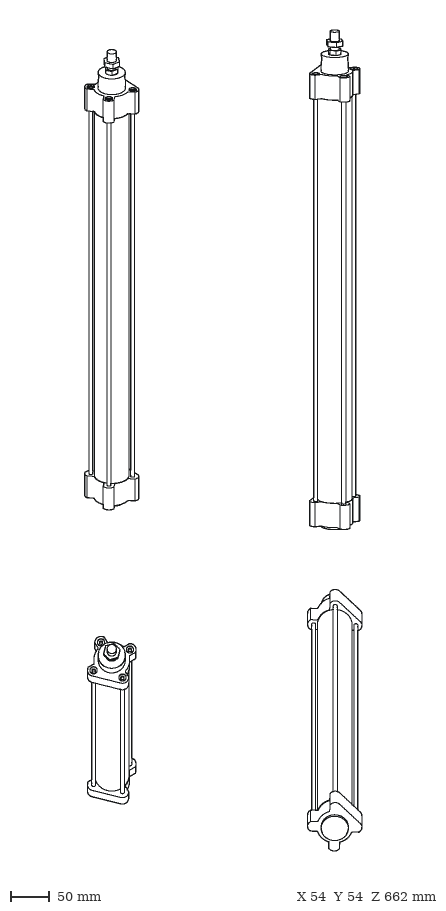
import cadquery as cq
import math

TOTAL_LENGTH = 662.0
REAR_BOSS_HEIGHT = 4.5
HEAD_HEIGHT = 32.5
FRONT_HEAD_TOP = 608.0
COLLAR_TOP = 631.5
NUT_BOTTOM = 643.0
NUT_HEIGHT = 6.5

ENVELOPE = 54.0
CORNER_OFFSET = 19.0
HEAD_DIAMETER = 46.5
LEDGE_LENGTH = 2.0
LOBE_FILLET = 1.0
SCREW_BORE_DIAMETER = 9.0
SCREW_BORE_DEPTH = 2.0
SOCKET_DIAMETER = 4.45
SOCKET_DEPTH = 6.5

BARREL_DIAMETER = 45.0
TIE_ROD_DIAMETER = 5.0
COLLAR_DIAMETER = 35.0
BOSS_CHAMFER_HEIGHT = 2.0
BOSS_CHAMFER_WIDTH = 0.3
GROOVE_BOTTOM = 619.5
GROOVE_TOP = 629.5
GROOVE_DEPTH = 0.5

ROD_DIAMETER = 16.0
ROD_SEAT_DEPTH = 20.0
ROD_ACROSS_FLATS = 13.0
NECK_BOTTOM = 637.5
NECK_HEIGHT = 4.5
NECK_DIAMETER = 11.0
THREAD_DIAMETER = 12.0
NUT_ACROSS_FLATS = 19.0

half_envelope = ENVELOPE / 2
head_radius = HEAD_DIAMETER / 2
collar_radius = COLLAR_DIAMETER / 2
rear_head_top = REAR_BOSS_HEIGHT + HEAD_HEIGHT
front_head_bottom = FRONT_HEAD_TOP - HEAD_HEIGHT
rod_seat_bottom = COLLAR_TOP - ROD_SEAT_DEPTH
neck_top = NECK_BOTTOM + NECK_HEIGHT
nut_top = NUT_BOTTOM + NUT_HEIGHT
corner_points = [(sx * CORNER_OFFSET, sy * CORNER_OFFSET) for sx in (-1, 1) for sy in (-1, 1)]


def plane_at(height):
    return cq.Workplane("XY").workplane(offset=height)


def disc(diameter, bottom, top):
    return plane_at(bottom).circle(diameter / 2).extrude(top - bottom)


def make_lobe(bottom):
    """Corner lobe at -X -Y: rounded nose, two short ledges and two 45 degree flanks."""
    nose_radius = half_envelope - CORNER_OFFSET
    nose_middle = CORNER_OFFSET + nose_radius * math.sqrt(0.5)
    ledge_end = CORNER_OFFSET - LEDGE_LENGTH
    flank_run = half_envelope / 2
    return (
        plane_at(bottom)
        .moveTo(-half_envelope, -CORNER_OFFSET)
        .threePointArc((-nose_middle, -nose_middle), (-CORNER_OFFSET, -half_envelope))
        .lineTo(-ledge_end, -half_envelope)
        .lineTo(-ledge_end + flank_run, -half_envelope + flank_run)
        .lineTo(-half_envelope + flank_run, -ledge_end + flank_run)
        .lineTo(-half_envelope, -ledge_end)
        .close()
        .extrude(HEAD_HEIGHT)
    )


def is_lobe_root(edge):
    """True for an upright edge where a lobe flank meets the round middle of the head."""
    tolerance = 0.05
    center = edge.Center()
    on_round = abs(math.hypot(center.x, center.y) - head_radius) < tolerance
    off_axes = min(abs(center.x), abs(center.y)) > tolerance
    return on_round and off_axes


def make_head(bottom):
    """Round head with four screw lobes and a flat +Y side."""
    head = disc(HEAD_DIAMETER, bottom, bottom + HEAD_HEIGHT)
    for quarter in range(4):
        head = head.union(make_lobe(bottom).rotate((0, 0, 0), (0, 0, 1), 90 * quarter))
    flat_side = (
        plane_at(bottom)
        .center(0, half_envelope / 2)
        .rect(2 * CORNER_OFFSET, half_envelope)
        .extrude(HEAD_HEIGHT)
    )
    head = head.union(flat_side)
    return head.edges("|Z").filter(is_lobe_root).fillet(LOBE_FILLET)


def make_tie_rods():
    """Four bars beside the barrel that join the two heads."""
    return (
        plane_at(rear_head_top)
        .pushPoints(corner_points)
        .circle(TIE_ROD_DIAMETER / 2)
        .extrude(front_head_bottom - rear_head_top)
    )


def make_rear_boss():
    boss = disc(COLLAR_DIAMETER, 0, REAR_BOSS_HEIGHT)
    rim = boss.faces("<Z").edges()
    return rim.chamfer(BOSS_CHAMFER_WIDTH, BOSS_CHAMFER_HEIGHT)


def make_collar():
    """Front collar with a shallow round groove below its lip."""
    collar = disc(COLLAR_DIAMETER, FRONT_HEAD_TOP, COLLAR_TOP)
    groove_middle = (GROOVE_BOTTOM + GROOVE_TOP) / 2
    groove = (
        cq.Workplane("XZ")
        .moveTo(collar_radius, GROOVE_BOTTOM)
        .threePointArc((collar_radius - GROOVE_DEPTH, groove_middle), (collar_radius, GROOVE_TOP))
        .close()
        .revolve(360, (0, 0, 0), (0, 1, 0))
    )
    return collar.cut(groove)


def make_screw_recesses():
    """Stepped recess in each lobe of the front head."""
    wide = plane_at(FRONT_HEAD_TOP).pushPoints(corner_points)
    wide = wide.circle(SCREW_BORE_DIAMETER / 2).extrude(-SCREW_BORE_DEPTH)
    narrow = plane_at(FRONT_HEAD_TOP).pushPoints(corner_points)
    narrow = narrow.circle(SOCKET_DIAMETER / 2).extrude(-SOCKET_DEPTH)
    return wide.union(narrow)


def make_housing():
    housing = make_head(REAR_BOSS_HEIGHT)
    housing = housing.union(make_head(front_head_bottom))
    housing = housing.union(disc(BARREL_DIAMETER, rear_head_top, front_head_bottom))
    housing = housing.union(make_tie_rods())
    housing = housing.union(make_rear_boss()).union(make_collar())
    rod_bore = disc(ROD_DIAMETER, rod_seat_bottom, COLLAR_TOP)
    return housing.cut(make_screw_recesses()).cut(rod_bore)


def make_piston_rod():
    """Rod with two wrench flats facing -X and +X, an undercut neck and a threaded tip."""
    shank = disc(ROD_DIAMETER, rod_seat_bottom, COLLAR_TOP)
    flatted = (
        plane_at(COLLAR_TOP)
        .rect(ROD_ACROSS_FLATS, ROD_DIAMETER)
        .extrude(NECK_BOTTOM - COLLAR_TOP)
        .intersect(disc(ROD_DIAMETER, COLLAR_TOP, NECK_BOTTOM))
    )
    neck = disc(NECK_DIAMETER, NECK_BOTTOM, neck_top)
    tip = disc(THREAD_DIAMETER, neck_top, TOTAL_LENGTH)
    return shank.union(flatted).union(neck).union(tip)


def make_nut():
    """Hexagon nut with corners pointing to -Y and +Y."""
    blank = (
        plane_at(NUT_BOTTOM)
        .polygon(6, NUT_ACROSS_FLATS, circumscribed=True)
        .extrude(NUT_HEIGHT)
    )
    return blank.cut(disc(THREAD_DIAMETER, NUT_BOTTOM, nut_top))


housing = make_housing()
piston_rod = make_piston_rod()
nut = make_nut()

result = cq.Compound.makeCompound([housing.val(), piston_rod.val(), nut.val()])